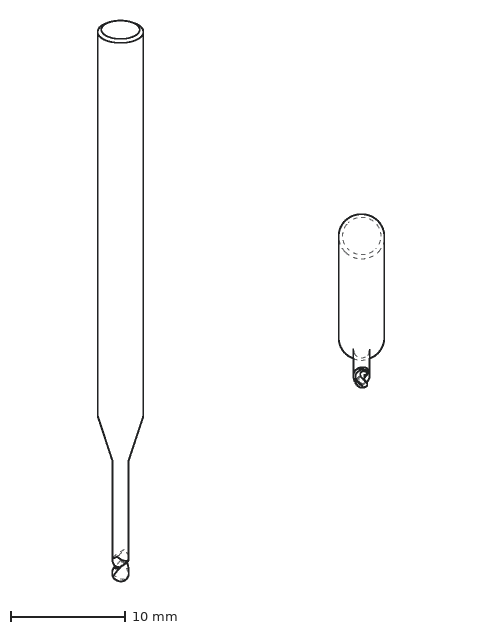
import cadquery as cq

TOTAL_LENGTH = 55.0
SHANK_RADIUS = 4.0 / 2
SHANK_BOTTOM = 16.5
TOP_CHAMFER_WIDTH = 0.35
TOP_CHAMFER_HEIGHT = 0.2
NECK_TOP = 12.0
NECK_RADIUS = 0.7

JOINT_APEX = 2.75
JOINT_EAVE = 2.2

CUTTER_RADIUS = 1.5 / 2
ROOT_BOTTOM = 1.7
BEVEL_TOP = 2.1
WEB_THICKNESS = 0.5
RELIEF_RADIUS = 0.6
RELIEF_HEIGHT = 0.15
TWIST_PER_UNIT = 52.73
SPAN = 4 * CUTTER_RADIUS


def prism_along_y(points):
    """Symmetric prism along Y from an XZ outline."""
    return cq.Workplane("XZ").polyline(points).close().extrude(SPAN / 2, both=True)


def below_joint():
    """Everything under the two sloping faces of the joint, past the neck's width."""
    slope = (JOINT_APEX - JOINT_EAVE) / NECK_RADIUS
    edge_z = JOINT_APEX - slope * SPAN / 2
    return prism_along_y([
        (0, JOINT_APEX),
        (SPAN / 2, edge_z),
        (SPAN / 2, 0),
        (-SPAN / 2, 0),
        (-SPAN / 2, edge_z),
    ])


def make_shank():
    """Chamfered shank, cone and neck, with the V joint cut into the neck's end."""
    profile = [
        (0, ROOT_BOTTOM),
        (NECK_RADIUS, ROOT_BOTTOM),
        (NECK_RADIUS, NECK_TOP),
        (SHANK_RADIUS, SHANK_BOTTOM),
        (SHANK_RADIUS, TOTAL_LENGTH - TOP_CHAMFER_HEIGHT),
        (SHANK_RADIUS - TOP_CHAMFER_WIDTH, TOTAL_LENGTH),
        (0, TOTAL_LENGTH),
    ]
    body = cq.Workplane("XZ").polyline(profile).close().revolve(360, (0, 0), (0, 1))
    return body.cut(below_joint())


def make_root():
    """Cutter root: flush with the neck, V-shaped on top and bevelled down to the web."""
    rod = (
        cq.Workplane("XY").workplane(offset=ROOT_BOTTOM)
        .circle(NECK_RADIUS).extrude(JOINT_APEX - ROOT_BOTTOM)
    )
    bevels = prism_along_y([
        (-WEB_THICKNESS / 2, ROOT_BOTTOM),
        (WEB_THICKNESS / 2, ROOT_BOTTOM),
        (NECK_RADIUS, BEVEL_TOP),
        (NECK_RADIUS, JOINT_APEX),
        (-NECK_RADIUS, JOINT_APEX),
        (-NECK_RADIUS, BEVEL_TOP),
    ])
    return rod.intersect(below_joint()).intersect(bevels)


def make_twisted_web():
    """Two-flute web, lying along Y at the root and twisting down to the tip."""
    full_twist = TWIST_PER_UNIT * ROOT_BOTTOM
    return (
        cq.Workplane("XY").rect(WEB_THICKNESS, SPAN)
        .twistExtrude(ROOT_BOTTOM, full_twist)
        .rotate((0, 0, 0), (0, 0, 1), -full_twist)
    )


def make_cutter():
    """Root plus the web trimmed to a ball-nose envelope with a relief groove."""
    relief_bottom = ROOT_BOTTOM - RELIEF_HEIGHT
    arc_side = CUTTER_RADIUS * 0.5 ** 0.5
    envelope = (
        cq.Workplane("XZ").moveTo(0, 0)
        .threePointArc((arc_side, CUTTER_RADIUS - arc_side), (CUTTER_RADIUS, CUTTER_RADIUS))
        .lineTo(CUTTER_RADIUS, relief_bottom)
        .lineTo(RELIEF_RADIUS, relief_bottom)
        .lineTo(RELIEF_RADIUS, ROOT_BOTTOM)
        .lineTo(0, ROOT_BOTTOM)
        .close().revolve(360, (0, 0), (0, 1))
    )
    return make_root().union(envelope.intersect(make_twisted_web()))


shank = make_shank()
cutter = make_cutter()

result = cq.Compound.makeCompound([shank.val(), cutter.val()])